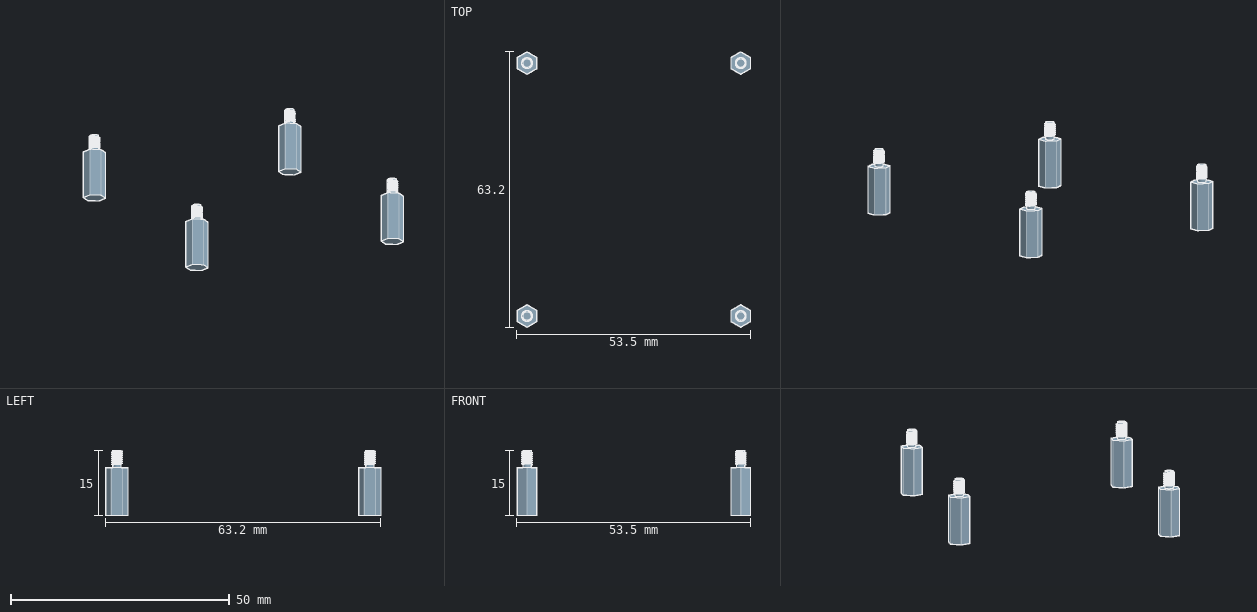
import cadquery as cq
import math


SPACING_X = 49.0
SPACING_Y = 58.0

ACROSS_FLATS = 4.5
ACROSS_CORNERS = ACROSS_FLATS / math.cos(math.pi / 6)
BODY_HEIGHT = 11.0
CORNER_RADIUS = 0.05

TOTAL_HEIGHT = 14.97
THREAD_RADIUS = 2.5 / 2
THREAD_PITCH = 0.45
THREAD_DEPTH = 0.6134 * THREAD_PITCH
ROOT_RADIUS = THREAD_RADIUS - THREAD_DEPTH

CREST_WIDTH = THREAD_PITCH / 8
BASE_WIDTH = 0.4
RIDGE_EMBED = 0.03

NECK_HEIGHT = 0.5
THREAD_BOTTOM = BODY_HEIGHT + NECK_HEIGHT


def hex_body():
    """Hexagonal prism standing on the XY plane."""
    return (
        cq.Workplane("XY")
        .transformed(rotate=(0, 0, 90))
        .polygon(6, ACROSS_CORNERS)
        .extrude(BODY_HEIGHT)
        .edges("|Z")
        .fillet(CORNER_RADIUS)
    )


def stud_core():
    """Cylinder at root radius; its bare lower end is the neck."""
    return (
        cq.Workplane("XY")
        .workplane(offset=BODY_HEIGHT)
        .circle(ROOT_RADIUS)
        .extrude(TOTAL_HEIGHT - BODY_HEIGHT)
    )


def thread_ridge():
    """Right-handed helical ridge that just fits between the neck and the tip."""
    start = THREAD_BOTTOM + BASE_WIDTH / 2
    travel = TOTAL_HEIGHT - THREAD_BOTTOM - BASE_WIDTH
    helix = cq.Wire.makeHelix(THREAD_PITCH, travel, ROOT_RADIUS, cq.Vector(0, 0, start))
    base_radius = ROOT_RADIUS - RIDGE_EMBED
    profile = (
        cq.Workplane("XZ")
        .moveTo(base_radius, start - BASE_WIDTH / 2)
        .lineTo(THREAD_RADIUS, start - CREST_WIDTH / 2)
        .lineTo(THREAD_RADIUS, start + CREST_WIDTH / 2)
        .lineTo(base_radius, start + BASE_WIDTH / 2)
        .close()
    )
    return profile.sweep(cq.Workplane(obj=helix), isFrenet=True)


def standoff():
    """One complete standoff with its foot centred on the origin."""
    return hex_body().union(stud_core()).union(thread_ridge())


single = standoff()
standoffs = [
    single.translate((side_x * SPACING_X / 2, side_y * SPACING_Y / 2, 0))
    for side_x in (-1, 1)
    for side_y in (-1, 1)
]

result = cq.Compound.makeCompound([body.val() for body in standoffs])